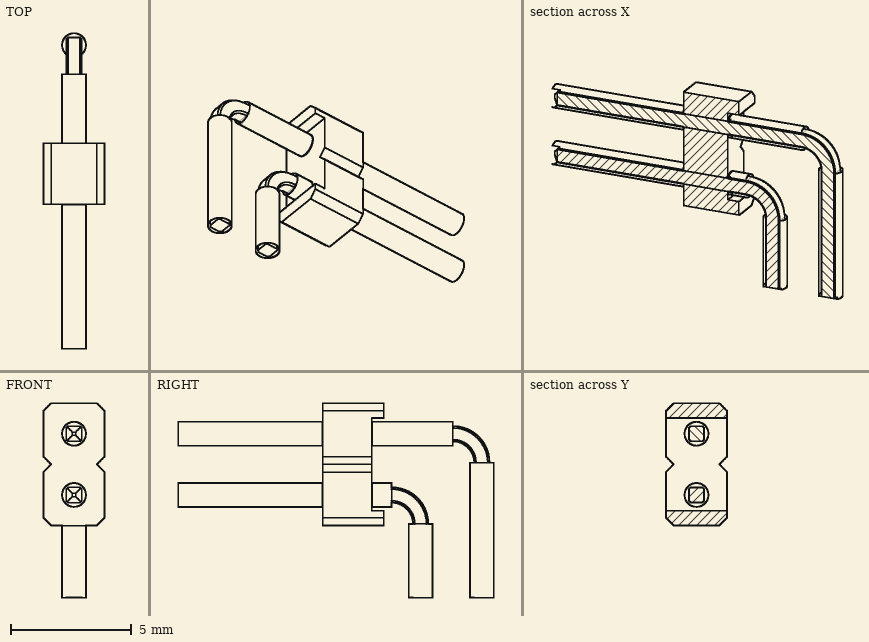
import cadquery as cq

PITCH = 2.54
POSITIONS = 2

HOUSING_DEPTH = PITCH
CORNER_CHAMFER = 0.32
SLOT_DEPTH = 0.5
SLOT_LIP = 0.62

BAR_SIDE = 0.64
BAR_CHAMFER = 0.08
TIP_SIDE = 0.14
TIP_LENGTH = (BAR_SIDE - TIP_SIDE) / 2
FRONT_LENGTH = 6.0
BEND_RADIUS = 1.2
LEG_BELOW_HOUSING = 3.0
UPPER_LEG_Y = 6.6

SLEEVE_DIAMETER = 1.0
SLEEVE_WALL = 0.01
WEB_THICKNESS = 0.02

HOUSING_HEIGHT = POSITIONS * PITCH
LEG_END_Z = -HOUSING_HEIGHT / 2 - LEG_BELOW_HOUSING
SLOT_FLOOR_Y = HOUSING_DEPTH - SLOT_DEPTH
TOP_ROW_Z = (POSITIONS - 1) * PITCH / 2
ROW_HEIGHTS = [TOP_ROW_Z - row * PITCH for row in range(POSITIONS)]


def plane_along_y(y, z):
    """Work plane facing +Y, centred on a pin axis."""
    return cq.Plane(origin=(0, y, z), xDir=(1, 0, 0), normal=(0, 1, 0))


def plane_along_z(y, z):
    """Work plane facing +Z, centred on a leg axis."""
    return cq.Plane(origin=(0, y, z), xDir=(1, 0, 0), normal=(0, 0, 1))


def make_housing():
    housing = None
    for z in ROW_HEIGHTS:
        block = (
            cq.Workplane("XY")
            .box(PITCH, HOUSING_DEPTH, PITCH)
            .edges("|Y")
            .chamfer(CORNER_CHAMFER)
            .translate((0, HOUSING_DEPTH / 2, z))
        )
        housing = block if housing is None else housing.union(block)

    rear_slot = cq.Workplane("XY").box(PITCH, SLOT_DEPTH, HOUSING_HEIGHT - 2 * SLOT_LIP)
    housing = housing.cut(rear_slot.translate((0, HOUSING_DEPTH - SLOT_DEPTH / 2, 0)))

    for z in ROW_HEIGHTS:
        housing = housing.cut(make_bar(plane_along_y(0, z), HOUSING_DEPTH))
    return housing


def bar_section():
    return cq.Sketch().rect(BAR_SIDE, BAR_SIDE).vertices().chamfer(BAR_CHAMFER)


def make_bar(plane, length):
    return cq.Workplane(plane).placeSketch(bar_section()).extrude(length)


def make_sleeve(plane, length):
    inner_diameter = SLEEVE_DIAMETER - 2 * SLEEVE_WALL
    return cq.Workplane(plane).circle(SLEEVE_DIAMETER / 2).circle(inner_diameter / 2).extrude(length)


def make_collar(plane):
    """Round plate that closes a sleeve around the bar."""
    return cq.Workplane(plane).circle(SLEEVE_DIAMETER / 2).extrude(WEB_THICKNESS)


def make_leg_web(plane):
    """Plate on the housing side of a leg's lower end, reaching from the bar into the sleeve wall."""
    reach = SLEEVE_DIAMETER / 2
    block = cq.Workplane(plane).center(0, -reach / 2).rect(BAR_SIDE, reach).extrude(WEB_THICKNESS)
    return block.intersect(make_collar(plane))


def make_tip(z):
    """Four-sided taper whose flat end is flush with the front sleeve's rim."""
    front_plane = plane_along_y(-FRONT_LENGTH, z)
    taper = (
        cq.Workplane(front_plane)
        .rect(TIP_SIDE, TIP_SIDE)
        .workplane(offset=TIP_LENGTH)
        .rect(BAR_SIDE, BAR_SIDE)
        .loft(ruled=True)
    )
    return taper.intersect(make_bar(front_plane, TIP_LENGTH))


def make_bend(bend_y, z):
    """Quarter turn from the bar down into the leg."""
    return (
        cq.Workplane(plane_along_y(bend_y, z))
        .placeSketch(bar_section())
        .revolve(90, (0, BEND_RADIUS, 0), (-1, BEND_RADIUS, 0))
    )


def make_pin(z):
    leg_y = UPPER_LEG_Y - (TOP_ROW_Z - z)
    bend_y = leg_y - BEND_RADIUS
    leg_length = z - BEND_RADIUS - LEG_END_Z
    bar_start_y = TIP_LENGTH - FRONT_LENGTH
    rear_plane = plane_along_y(SLOT_FLOOR_Y, z)
    leg_plane = plane_along_z(leg_y, LEG_END_Z)

    pin = make_bar(plane_along_y(bar_start_y, z), bend_y - bar_start_y)
    pin = pin.union(make_tip(z))
    pin = pin.union(make_bend(bend_y, z))
    pin = pin.union(make_bar(leg_plane, leg_length))
    pin = pin.union(make_collar(plane_along_y(-WEB_THICKNESS, z)))
    pin = pin.union(make_sleeve(plane_along_y(-FRONT_LENGTH, z), FRONT_LENGTH))
    pin = pin.union(make_collar(rear_plane))
    pin = pin.union(make_sleeve(rear_plane, bend_y - SLOT_FLOOR_Y))
    pin = pin.union(make_leg_web(leg_plane))
    pin = pin.union(make_sleeve(leg_plane, leg_length))
    return pin


housing = make_housing()
pins = [make_pin(z) for z in ROW_HEIGHTS]
result = cq.Compound.makeCompound([housing.val(), *[pin.val() for pin in pins]])